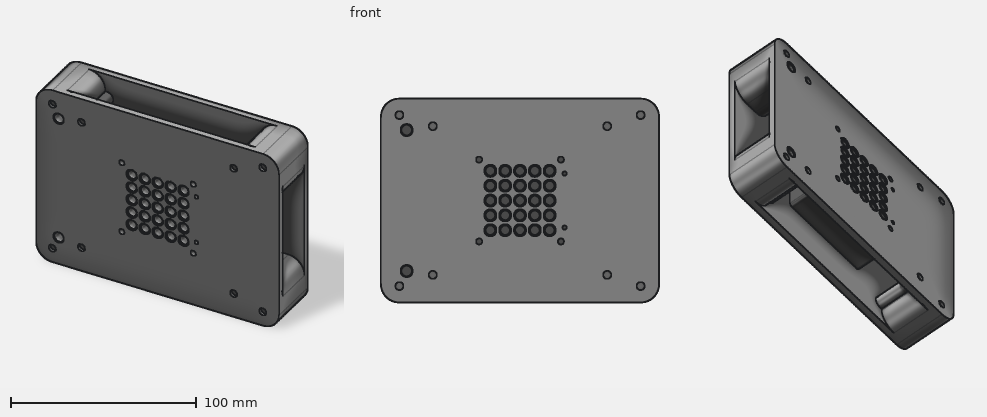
import cadquery as cq

WIDTH = 150.0
DEPTH = 32.0
HEIGHT = 110.0
CORNER_RADIUS = 10.0

CAVITY_DEPTH = 24.0
OPENING_WIDTH = 116.0
OPENING_HEIGHT = 70.0

POST_DIAMETER = 8.0
POST_X = 47.0
POST_Z = 40.0
CORE_SIDE = 57.9
CORE_RADIUS = 2.0

SCREW_HOLE_DIAMETER = 4.4
SCREW_HOLE_DEPTH = 2.0
CORNER_HOLE_X = 65.0
CORNER_HOLE_Z = 46.0

DEEP_HOLE_DEPTH = 10.0
CORE_HOLE_DIAMETER = 3.3
CORE_HOLE_OFFSET = 22.0
PIN_HOLE_DIAMETER = 2.2
PIN_HOLE_X = 24.0
PIN_HOLE_Z = 14.5

COUNTERBORE_DIAMETER = 6.6
COUNTERBORE_DEPTH = 0.8
GRID_COUNT = 5
GRID_SPAN = 32.0
GRID_HOLE_DIAMETER = 5.1

SIDE_HOLE_DIAMETER = 5.7
SIDE_HOLE_CHAMFER = 0.5
SIDE_HOLE_X = -61.0
SIDE_HOLE_Z = 38.0

FRONT_Y = -DEPTH / 2
CAVITY_FRONT_Y = -CAVITY_DEPTH / 2
CAVITY_BACK_Y = CAVITY_DEPTH / 2
PLATE_THICKNESS = (DEPTH - CAVITY_DEPTH) / 2

BLOCK_WIDTH = (WIDTH - OPENING_WIDTH) / 2 + CORNER_RADIUS
BLOCK_HEIGHT = (HEIGHT - OPENING_HEIGHT) / 2 + CORNER_RADIUS

CENTER = [(0, 0)]
SIGNS = (-1, 1)


def mirrored(x, z):
    """Four points placed symmetrically about both centre lines."""
    return [(i * x, j * z) for i in SIGNS for j in SIGNS]


def sketch_at(y, points):
    """XZ workplane at the given Y; a negative extrusion runs toward +Y."""
    return cq.Workplane("XZ", origin=(0, y, 0)).pushPoints(points)


def cylinders(points, y, diameter, length):
    return sketch_at(y, points).circle(diameter / 2).extrude(-length)


def rounded_boxes(points, y, width, height, radius, length):
    """Boxes running toward +Y from y, with their four long edges rounded."""
    return sketch_at(y, points).rect(width, height).extrude(-length).edges("|Y").fillet(radius)


def plate(y):
    return rounded_boxes(CENTER, y, WIDTH, HEIGHT, CORNER_RADIUS, PLATE_THICKNESS)


def front_holes(points, diameter, depth):
    return cylinders(points, FRONT_Y, diameter, depth)


def counterbored_holes(points, diameter):
    bores = front_holes(points, diameter, DEEP_HOLE_DEPTH)
    return bores.union(front_holes(points, COUNTERBORE_DIAMETER, COUNTERBORE_DEPTH))


def chamfered_holes(points, diameter, chamfer):
    """Deep holes opening at 45 degrees toward the front face."""
    mouth_diameter = diameter + 2 * chamfer
    mouths = sketch_at(FRONT_Y, points).circle(mouth_diameter / 2).extrude(-chamfer, taper=45)
    return front_holes(points, diameter, DEEP_HOLE_DEPTH).union(mouths)


block_centers = mirrored((WIDTH - BLOCK_WIDTH) / 2, (HEIGHT - BLOCK_HEIGHT) / 2)
post_centers = mirrored(POST_X, POST_Z)
blocks = rounded_boxes(
    block_centers, CAVITY_FRONT_Y, BLOCK_WIDTH, BLOCK_HEIGHT, CORNER_RADIUS, CAVITY_DEPTH
)
posts = cylinders(post_centers, CAVITY_FRONT_Y, POST_DIAMETER, CAVITY_DEPTH)
core = rounded_boxes(CENTER, CAVITY_FRONT_Y, CORE_SIDE, CORE_SIDE, CORE_RADIUS, CAVITY_DEPTH)

body = plate(FRONT_Y).union(blocks).union(posts).union(core).union(plate(CAVITY_BACK_Y))

screw_points = mirrored(CORNER_HOLE_X, CORNER_HOLE_Z) + post_centers
core_points = mirrored(CORE_HOLE_OFFSET, CORE_HOLE_OFFSET)
pin_points = [(PIN_HOLE_X, j * PIN_HOLE_Z) for j in SIGNS]
body = body.cut(front_holes(screw_points, SCREW_HOLE_DIAMETER, SCREW_HOLE_DEPTH))
body = body.cut(front_holes(core_points, CORE_HOLE_DIAMETER, DEEP_HOLE_DEPTH))
body = body.cut(front_holes(pin_points, PIN_HOLE_DIAMETER, DEEP_HOLE_DEPTH))

grid_pitch = GRID_SPAN / (GRID_COUNT - 1)
grid_steps = [i * grid_pitch - GRID_SPAN / 2 for i in range(GRID_COUNT)]
grid_points = [(x, z) for x in grid_steps for z in grid_steps]
side_points = [(SIDE_HOLE_X, j * SIDE_HOLE_Z) for j in SIGNS]
body = body.cut(counterbored_holes(grid_points, GRID_HOLE_DIAMETER))
body = body.cut(chamfered_holes(side_points, SIDE_HOLE_DIAMETER, SIDE_HOLE_CHAMFER))

result = body